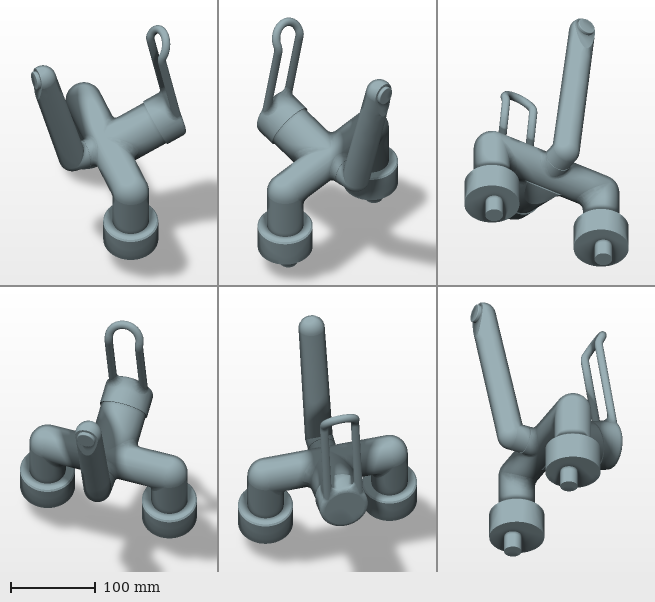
import cadquery as cq
import math

PIPE_RADIUS = 21.5
LEG_OFFSET = 75.0
PIPE_SEAM_TURN = 30.0
ELBOW_FILLET = 10.0

FLANGE_RADIUS = 32.5
FLANGE_TOP = -53.0
FLANGE_BOTTOM = -87.5
FLANGE_EDGE = 1.7
STUB_RADIUS = 10.4
STUB_BOTTOM = -109.3
STUB_ECCENTRICITY = -5.2

BODY_TILT = 20.0
BODY_RADIUS = 27.3
BODY_DROP = 6.0
BODY_START = 0.0
BODY_END = 62.5
BODY_SEAM_TURN = 90.0
BODY_FILLET = 8.5

CAP_RADIUS = 29.0
CAP_FACE_TILT = 10.0
CAP_FACE_Y = 93.2
CAP_EDGE = 5.0

ROD_RADIUS = 5.0
ROD_SPACING = 37.5
ROD_INSET = 0.3
ROD_BOTTOM = 31.5
ROD_BEND_RADIUS = 15.5
LOOP_TILT = 26.5
LOOP_TOP = 178.3
ROD_FILLET = 7.2
ROD_FOOT_TOP = 57.5
ROD_FOOT_MARGIN = 1.0

SPOUT_Z = -2.0
SPOUT_RADIUS = 16.5
SPOUT_TIP_RADIUS = 15.5
SPOUT_CORNER_Y = -44.3
SPOUT_TILT = 13.0
SPOUT_RISE = 161.0
SPOUT_FILLET = 5.0

OUTLET_TILT = 3.0
OUTLET_Y = -88.3
OUTLET_Z = 159.0
AERATOR_RADIUS = 11.0
AERATOR_HEIGHT = 4.3
AERATOR_EDGE = 1.0

GROOVE_Y = -27.5
GROOVE_WIDTH = 1.2
GROOVE_DEPTH = 0.5

CUT_SIZE = 230.0
SELECT_MARGIN = 0.3


def cylinder(start, direction, length, radius):
    """Solid cylinder that starts at a point and runs along a direction."""
    solid = cq.Solid.makeCylinder(radius, length, cq.Vector(*start), cq.Vector(*direction))
    return cq.Workplane(solid)


def ball(center, radius):
    """Solid sphere around a point."""
    return cq.Workplane("XY").sphere(radius).translate(center)


def half_space(origin, normal):
    """Big block filling the side of a plane that the normal points to; the normal lies in YZ."""
    plane = cq.Plane(origin=origin, xDir=(1, 0, 0), normal=normal)
    return cq.Workplane(plane).rect(CUT_SIZE, CUT_SIZE).extrude(CUT_SIZE)


def tilted(angle):
    """Sine and cosine of an angle given in degrees."""
    return math.sin(math.radians(angle)), math.cos(math.radians(angle))


def edges_inside(shape, low, high):
    """Edges of a shape that lie completely inside a box."""
    return shape.edges(cq.selectors.BoxSelector(low, high, boundingbox=True))


def make_pipe():
    """Horizontal pipe, turned so that its seam line stays clear of the body and the spout."""
    pipe = cylinder((-LEG_OFFSET, 0, 0), (1, 0, 0), 2 * LEG_OFFSET, PIPE_RADIUS)
    return pipe.rotate((0, 0, 0), (1, 0, 0), PIPE_SEAM_TURN)


def add_legs(pipe):
    """Add a rounded elbow and a leg at each end of the pipe."""
    for x in (-LEG_OFFSET, LEG_OFFSET):
        leg = cylinder((x, 0, 0), (0, 0, -1), -FLANGE_TOP, PIPE_RADIUS)
        pipe = pipe.union(leg).union(ball((x, 0, 0), PIPE_RADIUS))
    reach = PIPE_RADIUS + SELECT_MARGIN
    for x in (-LEG_OFFSET, LEG_OFFSET):
        low = (x - reach, -reach, -reach)
        high = (x + reach, reach, SELECT_MARGIN)
        corner = edges_inside(pipe, low, high).edges("%BSPLINE or %ELLIPSE")
        pipe = corner.fillet(ELBOW_FILLET)
    return pipe


def make_wall_union(x):
    """Flange and eccentric stub below one leg."""
    flange = cylinder((x, 0, FLANGE_BOTTOM), (0, 0, 1), FLANGE_TOP - FLANGE_BOTTOM, FLANGE_RADIUS)
    flange = flange.faces(">Z").edges().chamfer(FLANGE_EDGE)
    stub_start = (x, STUB_ECCENTRICITY, STUB_BOTTOM)
    stub = cylinder(stub_start, (0, 0, 1), FLANGE_BOTTOM - STUB_BOTTOM, STUB_RADIUS)
    return flange.union(stub)


def body_point(along):
    """Point on the body axis, which passes BODY_DROP below the pipe axis."""
    sine, cosine = tilted(BODY_TILT)
    return 0, along * cosine + BODY_DROP * sine, along * sine - BODY_DROP * cosine


def add_body(pipe):
    """Blend the tilted body into the pipe and trim it flush with the pipe underside."""
    sine, cosine = tilted(BODY_TILT)
    body = cylinder(body_point(BODY_START), (0, cosine, sine), BODY_END - BODY_START, BODY_RADIUS)
    body = body.rotate(body_point(BODY_START), body_point(BODY_END), BODY_SEAM_TURN)
    joined = pipe.union(body)
    reach = BODY_RADIUS + SELECT_MARGIN
    seam_low = (-reach, -PIPE_RADIUS, -PIPE_RADIUS)
    seam_high = (reach, reach, reach)
    foot = edges_inside(joined, seam_low, seam_high).edges("%BSPLINE")
    joined = foot.fillet(BODY_FILLET)
    return joined.cut(half_space((0, 0, -PIPE_RADIUS), (0, 0, -1)))


def make_cap():
    """Lever cap: a cylinder continuing the body, with a sloping back face."""
    sine, cosine = tilted(BODY_TILT)
    face_sine, face_cosine = tilted(CAP_FACE_TILT)
    cap = cylinder(body_point(BODY_END), (0, cosine, sine), 2 * CAP_RADIUS, CAP_RADIUS)
    cap = cap.rotate(body_point(BODY_START), body_point(BODY_END), BODY_SEAM_TURN)
    cap = cap.cut(half_space((0, CAP_FACE_Y, 0), (0, face_cosine, face_sine)))
    return cap.faces(">Y").edges().fillet(CAP_EDGE)


def make_loop():
    """Lever loop: two straight rods, a bend in each and a half circle joining them."""
    sine, cosine = tilted(CAP_FACE_TILT)
    loop_sine, loop_cosine = tilted(LOOP_TILT)
    mean_sine, mean_cosine = tilted((CAP_FACE_TILT - LOOP_TILT) / 2)
    reach = ROD_SPACING / 2
    bend_rise = ROD_BEND_RADIUS * (sine + loop_sine)
    rod_top = LOOP_TOP - ROD_RADIUS - reach * loop_cosine - bend_rise
    axis_y = CAP_FACE_Y - (ROD_RADIUS + ROD_INSET) / cosine

    def rod_point(side, z):
        """Point at height z on the axis of the left or right rod."""
        return cq.Vector(side * reach, axis_y - z * sine / cosine, z)

    to_center = cq.Vector(0, cosine, sine) * ROD_BEND_RADIUS
    to_middle = cq.Vector(0, mean_cosine, mean_sine) * ROD_BEND_RADIUS
    to_end = cq.Vector(0, loop_cosine, -loop_sine) * ROD_BEND_RADIUS

    def bend(side):
        """Start, middle and end of the bend at the top of a rod."""
        start = rod_point(side, rod_top)
        center = start + to_center
        return start, center - to_middle, center - to_end

    left = bend(-1)
    right = bend(1)
    top = left[2] + cq.Vector(reach, reach * loop_sine, reach * loop_cosine)
    path = cq.Wire.assembleEdges([
        cq.Edge.makeLine(rod_point(-1, ROD_BOTTOM), left[0]),
        cq.Edge.makeThreePointArc(*left),
        cq.Edge.makeThreePointArc(left[2], top, right[2]),
        cq.Edge.makeThreePointArc(*reversed(right)),
        cq.Edge.makeLine(right[0], rod_point(1, ROD_BOTTOM)),
    ])
    start_plane = cq.Plane(
        origin=rod_point(-1, ROD_BOTTOM).toTuple(), xDir=(1, 0, 0), normal=(0, -sine, cosine)
    )
    return cq.Workplane(start_plane).circle(ROD_RADIUS).sweep(cq.Workplane(path))


def make_lever():
    """Cap and loop joined, with a fillet around the foot of each rod."""
    lever = make_cap().union(make_loop())
    reach = ROD_RADIUS + ROD_FOOT_MARGIN
    for x in (-ROD_SPACING / 2, ROD_SPACING / 2):
        low = (x - reach, 0, ROD_BOTTOM)
        high = (x + reach, CAP_FACE_Y, ROD_FOOT_TOP)
        lever = edges_inside(lever, low, high).fillet(ROD_FILLET)
    return lever


def make_groove():
    """Ring that cuts the swivel joint groove into the neck."""
    start = (0, GROOVE_Y + GROOVE_WIDTH / 2, SPOUT_Z)
    ring = cylinder(start, (0, -1, 0), GROOVE_WIDTH, SPOUT_RADIUS + GROOVE_DEPTH)
    core = cylinder(start, (0, -1, 0), GROOVE_WIDTH, SPOUT_RADIUS - GROOVE_DEPTH)
    return ring.cut(core)


def add_neck(core):
    """Add the horizontal start of the spout with its blend and swivel joint groove."""
    neck = cylinder((0, 0, SPOUT_Z), (0, -1, 0), -SPOUT_CORNER_Y, SPOUT_RADIUS)
    joined = core.union(neck)
    reach = SPOUT_RADIUS + SELECT_MARGIN
    seam_low = (-reach, -PIPE_RADIUS - SELECT_MARGIN, SPOUT_Z - reach)
    seam_high = (reach, 0, SPOUT_Z + reach)
    foot = edges_inside(joined, seam_low, seam_high).edges("%BSPLINE")
    return foot.fillet(SPOUT_FILLET).cut(make_groove())


def make_spout():
    """Rising, slightly tapered spout with a ball corner, a domed tip and a flat outlet face."""
    sine, cosine = tilted(SPOUT_TILT)
    corner = cq.Vector(0, SPOUT_CORNER_Y, SPOUT_Z)
    direction = cq.Vector(0, -sine, cosine)
    length = SPOUT_RISE / cosine
    tip = corner + direction * length
    tube = cq.Workplane(
        cq.Solid.makeCone(SPOUT_RADIUS, SPOUT_TIP_RADIUS, length, corner, direction)
    )
    spout = tube.union(ball(corner.toTuple(), SPOUT_RADIUS))
    spout = spout.union(ball(tip.toTuple(), SPOUT_TIP_RADIUS))

    face_sine, face_cosine = tilted(OUTLET_TILT)
    outward = (0, -face_cosine, face_sine)
    outlet = (0, OUTLET_Y, OUTLET_Z)
    aerator = cylinder(outlet, outward, AERATOR_HEIGHT, AERATOR_RADIUS)
    aerator = aerator.faces("<Y").edges().fillet(AERATOR_EDGE)
    return spout.cut(half_space(outlet, outward)).union(aerator)


result = add_body(make_pipe())
result = add_neck(result)
result = result.union(make_spout())
result = add_legs(result)
result = result.union(make_lever())
for leg_x in (-LEG_OFFSET, LEG_OFFSET):
    result = result.union(make_wall_union(leg_x))
result = cq.Workplane(result.solids().val())